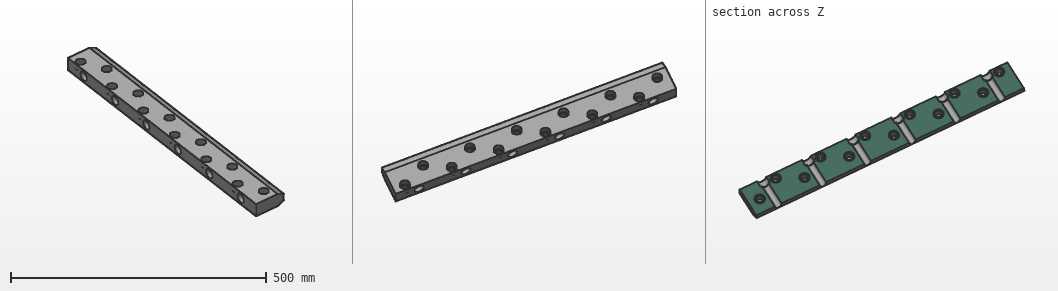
import cadquery as cq
import math

LENGTH = 599.5
THICKNESS = 30.0

SHAFT_RADIUS = 20.0
SHAFT_AXIS_HEIGHT = 88.0
TIP_WIDTH = 15.0
TAPER_ANGLE = 25.0

HOLE_DIAMETER = 14.0
COUNTERBORE_DIAMETER = 20.0
COUNTERBORE_DEPTH = 15.0
HOLES_PER_ROW = 6
HOLE_PITCH = 100.0
ROW_STAGGER = HOLE_PITCH / 4
LOWER_ROW_HEIGHT = 12.0
UPPER_ROW_HEIGHT = 38.0

half_thickness = THICKNESS / 2
half_tip = TIP_WIDTH / 2
saddle_bottom = SHAFT_AXIS_HEIGHT - SHAFT_RADIUS
lip_height = SHAFT_AXIS_HEIGHT - math.sqrt(SHAFT_RADIUS**2 - half_tip**2)
taper_length = (half_thickness - half_tip) / math.tan(math.radians(TAPER_ANGLE))
shoulder_height = lip_height - taper_length


def make_bar():
    """Bar with flat sides, a tapered tip and the shaft saddle along the tip."""
    return (
        cq.Workplane("YZ")
        .moveTo(0, -half_thickness)
        .lineTo(shoulder_height, -half_thickness)
        .lineTo(lip_height, -half_tip)
        .threePointArc((saddle_bottom, 0), (lip_height, half_tip))
        .lineTo(shoulder_height, half_thickness)
        .lineTo(0, half_thickness)
        .close()
        .extrude(LENGTH)
    )


def drill_row(bar, face, first_x, offset):
    """Drill a row along X; offset is the holes' second coordinate on the face plane."""
    points = [(first_x + HOLE_PITCH * i, offset) for i in range(HOLES_PER_ROW)]
    return (
        bar.copyWorkplane(face)
        .pushPoints(points)
        .cboreHole(HOLE_DIAMETER, COUNTERBORE_DIAMETER, COUNTERBORE_DEPTH)
    )


upper_side = cq.Workplane("XY", origin=(0, 0, half_thickness))
base_face = cq.Workplane("XZ")

result = make_bar()
result = drill_row(result, upper_side, ROW_STAGGER, LOWER_ROW_HEIGHT)
result = drill_row(result, base_face, 2 * ROW_STAGGER, 0)
result = drill_row(result, upper_side, 3 * ROW_STAGGER, UPPER_ROW_HEIGHT)